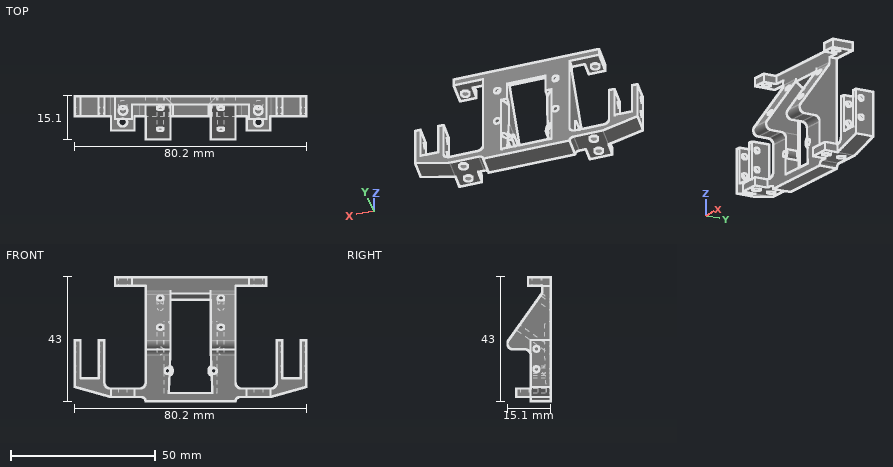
import cadquery as cq
import math


HEIGHT = 43.0
PLATE_DEPTH = 7.0
FRAME_HALF_WIDTH = 15.6
BASE_CORNER_RADIUS = 1.5

BEAM_THICKNESS = 3.0
BEAM_DEPTH = 3.0
BEAM_HALF_LENGTH = 26.2
TAB_WIDTH = 6.0
TAB_DEPTH = 8.0
TAB_HOLE_X = 23.4
TAB_HOLE_Y = -5.0
BOLT_DIAMETER = 3.0

SLOPE_ANGLE = 54.5
BRACKET_BOTTOM = 18.0
BRACKET_RADIUS = 2.0
BRACKET_REACH = 15.09
SLOPE_HOLE_DIAMETER = 2.2
SLOPE_HOLE_X = 10.5
SLOPE_HOLE_HEIGHTS = (25.7, 35.8)

WINDOW_HALF_WIDTH = 6.9
WINDOW_FLOOR_HALF_WIDTH = 7.5
WINDOW_FLOOR = 3.0
WINDOW_TOP_FRONT = 37.3
BACK_BEVEL_HALF_WIDTH = 9.15
BACK_BEVEL_DEPTH = 3.0
BACK_BEVEL_TOP = 27.7

BOSS_X = 8.0
BOSS_Z = 10.6
BOSS_DIAMETER = 3.7
BOSS_HOLE_DIAMETER = 2.0

ARM_BOTTOM = BASE_CORNER_RADIUS
ARM_THICKNESS = 3.0
ARM_TOP = ARM_BOTTOM + ARM_THICKNESS
ARM_FILLET = 2.0
PAD_CENTER_X = 23.5
PAD_WIDTH = 8.2
PAD_DEPTH = 12.0
PAD_HOLE_YS = (-3.0, -9.0)

FORK_OUTER_X = 40.1
PRONG_THICKNESS = 2.0
FORK_SLOT = 6.3
FORK_SLOT_FLOOR = 8.1
FORK_TOP = 21.2
FORK_OUTER_BOTTOM = 5.0
FORK_HOLE_DIAMETER = 2.0
FORK_HOLE_Y = -5.0
FORK_HOLE_TOP_OFFSET = 3.0
FORK_HOLE_SPACING = 7.0

SLOPE = math.radians(SLOPE_ANGLE)
SLOPE_NORMAL_Y = -math.sin(SLOPE)
SLOPE_NORMAL_Z = math.cos(SLOPE)
NOSE_Y = -(BRACKET_REACH - BRACKET_RADIUS)
NOSE_Z = BRACKET_BOTTOM + BRACKET_RADIUS
SLOPE_FOOT_Y = NOSE_Y + BRACKET_RADIUS * SLOPE_NORMAL_Y
SLOPE_FOOT_Z = NOSE_Z + BRACKET_RADIUS * SLOPE_NORMAL_Z
SLOPE_TOP_Z = SLOPE_FOOT_Z + (-BEAM_DEPTH - SLOPE_FOOT_Y) * math.tan(SLOPE)
FORK_INNER_X = FORK_OUTER_X - 2 * PRONG_THICKNESS - FORK_SLOT
OVERCUT = 1.0


def box(x_range, y_range, z_range):
    size = [high - low for low, high in (x_range, y_range, z_range)]
    corner = (x_range[0], y_range[0], z_range[0])
    return cq.Workplane("XY").box(*size, centered=False).translate(corner)


def both_sides(shape):
    return shape.union(shape.mirror("YZ"))


def extrude_x(profile, x_start, x_end):
    return profile.extrude(x_end - x_start).translate((x_start, 0, 0))


def y_cylinder(diameter, x, z, depth):
    return cq.Workplane("XZ").center(x, z).circle(diameter / 2).extrude(depth)


def top_beam():
    beam = box((-BEAM_HALF_LENGTH, BEAM_HALF_LENGTH), (-BEAM_DEPTH, 0), (HEIGHT - BEAM_THICKNESS, HEIGHT))
    tab_inner_x = BEAM_HALF_LENGTH - TAB_WIDTH
    tab = box((tab_inner_x, BEAM_HALF_LENGTH), (-TAB_DEPTH, 0), (HEIGHT - BEAM_THICKNESS, HEIGHT))
    hole = (
        cq.Workplane("XY", origin=(0, 0, HEIGHT - BEAM_THICKNESS))
        .center(TAB_HOLE_X, TAB_HOLE_Y)
        .circle(BOLT_DIAMETER / 2)
        .extrude(BEAM_THICKNESS)
    )
    return beam.union(both_sides(tab.cut(hole)))


def frame_block():
    """Frame and both brackets as one side profile, before the window is cut."""
    profile = (
        cq.Workplane("YZ")
        .moveTo(0, 0)
        .lineTo(-PLATE_DEPTH, 0)
        .lineTo(-PLATE_DEPTH, BRACKET_BOTTOM - BRACKET_RADIUS)
        .radiusArc((-PLATE_DEPTH - BRACKET_RADIUS, BRACKET_BOTTOM), -BRACKET_RADIUS)
        .lineTo(NOSE_Y, BRACKET_BOTTOM)
        .radiusArc((SLOPE_FOOT_Y, SLOPE_FOOT_Z), BRACKET_RADIUS)
        .lineTo(-BEAM_DEPTH, SLOPE_TOP_Z)
        .lineTo(-BEAM_DEPTH, HEIGHT)
        .lineTo(0, HEIGHT)
        .close()
    )
    block = extrude_x(profile, -FRAME_HALF_WIDTH, FRAME_HALF_WIDTH)
    slope_top = cq.selectors.NearestToPointSelector((0, -BEAM_DEPTH, SLOPE_TOP_Z))
    return block.edges("|X").edges(slope_top).fillet(BRACKET_RADIUS)


def window():
    """Opening whose sides flare below the brackets and whose roof is square to the slope."""
    front_y = -BRACKET_REACH - OVERCUT
    outline = (
        cq.Workplane("XZ", origin=(0, OVERCUT, 0))
        .moveTo(-WINDOW_FLOOR_HALF_WIDTH, WINDOW_FLOOR)
        .lineTo(WINDOW_FLOOR_HALF_WIDTH, WINDOW_FLOOR)
        .lineTo(WINDOW_HALF_WIDTH, BRACKET_BOTTOM)
        .lineTo(WINDOW_HALF_WIDTH, HEIGHT)
        .lineTo(-WINDOW_HALF_WIDTH, HEIGHT)
        .lineTo(-WINDOW_HALF_WIDTH, BRACKET_BOTTOM)
        .close()
        .extrude(OVERCUT - front_y)
    )
    roof_drop = (BEAM_DEPTH + OVERCUT) / math.tan(SLOPE)
    side = (
        cq.Workplane("YZ")
        .moveTo(OVERCUT, 0)
        .lineTo(front_y, 0)
        .lineTo(front_y, HEIGHT)
        .lineTo(-BEAM_DEPTH, HEIGHT)
        .lineTo(-BEAM_DEPTH, WINDOW_TOP_FRONT)
        .lineTo(OVERCUT, WINDOW_TOP_FRONT - roof_drop)
        .close()
    )
    return outline.intersect(extrude_x(side, -FRAME_HALF_WIDTH, FRAME_HALF_WIDTH))


def side_arm():
    """Arm on the +X side with its fork, flared into the frame."""
    frame_x = FRAME_HALF_WIDTH
    pad_outer_x = PAD_CENTER_X + PAD_WIDTH / 2
    slot_inner_x = FORK_INNER_X + PRONG_THICKNESS
    slot_outer_x = FORK_OUTER_X - PRONG_THICKNESS
    return (
        cq.Workplane("XZ")
        .moveTo(frame_x, 0)
        .radiusArc((frame_x + BASE_CORNER_RADIUS, ARM_BOTTOM), BASE_CORNER_RADIUS)
        .lineTo(pad_outer_x, ARM_BOTTOM)
        .lineTo(FORK_OUTER_X, FORK_OUTER_BOTTOM)
        .lineTo(FORK_OUTER_X, FORK_TOP)
        .lineTo(slot_outer_x, FORK_TOP)
        .lineTo(slot_outer_x, FORK_SLOT_FLOOR)
        .lineTo(slot_inner_x, FORK_SLOT_FLOOR)
        .lineTo(slot_inner_x, FORK_TOP)
        .lineTo(FORK_INNER_X, FORK_TOP)
        .lineTo(FORK_INNER_X, ARM_TOP + ARM_FILLET)
        .radiusArc((FORK_INNER_X - ARM_FILLET, ARM_TOP), ARM_FILLET)
        .lineTo(frame_x + ARM_FILLET, ARM_TOP)
        .radiusArc((frame_x, ARM_TOP + ARM_FILLET), ARM_FILLET)
        .close()
        .extrude(PLATE_DEPTH)
    )


def arm_pad():
    half = PAD_WIDTH / 2
    return box((PAD_CENTER_X - half, PAD_CENTER_X + half), (-PAD_DEPTH, 0), (ARM_BOTTOM, ARM_TOP))


def pad_holes():
    points = [(PAD_CENTER_X, y) for y in PAD_HOLE_YS]
    return cq.Workplane("XY").pushPoints(points).circle(BOLT_DIAMETER / 2).extrude(ARM_TOP + OVERCUT)


def fork_holes():
    top_hole = FORK_TOP - FORK_HOLE_TOP_OFFSET
    points = [(FORK_HOLE_Y, top_hole), (FORK_HOLE_Y, top_hole - FORK_HOLE_SPACING)]
    holes = cq.Workplane("YZ").pushPoints(points).circle(FORK_HOLE_DIAMETER / 2)
    return extrude_x(holes, FORK_INNER_X, FORK_OUTER_X)


def back_bevel():
    """45 degree bevel along the back of the window's sides, rounded off at its top."""
    wedge = (
        cq.Workplane("XY", origin=(0, 0, WINDOW_FLOOR))
        .moveTo(-BACK_BEVEL_HALF_WIDTH, 0)
        .lineTo(-BACK_BEVEL_HALF_WIDTH + BACK_BEVEL_DEPTH, -BACK_BEVEL_DEPTH)
        .lineTo(BACK_BEVEL_HALF_WIDTH - BACK_BEVEL_DEPTH, -BACK_BEVEL_DEPTH)
        .lineTo(BACK_BEVEL_HALF_WIDTH, 0)
        .close()
        .extrude(BACK_BEVEL_TOP - WINDOW_FLOOR)
    )
    side = (
        cq.Workplane("YZ")
        .moveTo(0, 0)
        .lineTo(-BACK_BEVEL_DEPTH, 0)
        .lineTo(-BACK_BEVEL_DEPTH, BACK_BEVEL_TOP - BACK_BEVEL_DEPTH)
        .radiusArc((0, BACK_BEVEL_TOP), BACK_BEVEL_DEPTH)
        .close()
    )
    return wedge.intersect(extrude_x(side, -BACK_BEVEL_HALF_WIDTH, BACK_BEVEL_HALF_WIDTH))


def slope_holes():
    """Holes drilled square to the sloped faces, through to the back."""
    holes = cq.Workplane("XY")
    length = 2 * BRACKET_REACH
    for z in SLOPE_HOLE_HEIGHTS:
        y = SLOPE_FOOT_Y + (z - SLOPE_FOOT_Z) / math.tan(SLOPE)
        entry = cq.Vector(SLOPE_HOLE_X, y, z)
        inward = cq.Vector(0, -SLOPE_NORMAL_Y, -SLOPE_NORMAL_Z)
        start = entry - inward * OVERCUT
        holes = holes.union(cq.Workplane(cq.Solid.makeCylinder(SLOPE_HOLE_DIAMETER / 2, length, start, inward)))
    return holes


bosses = both_sides(y_cylinder(BOSS_DIAMETER, BOSS_X, BOSS_Z, PLATE_DEPTH))
boss_holes = both_sides(y_cylinder(BOSS_HOLE_DIAMETER, BOSS_X, BOSS_Z, PLATE_DEPTH))
arm = side_arm().union(arm_pad()).cut(pad_holes()).cut(fork_holes())

frame = (
    frame_block()
    .cut(window())
    .union(bosses)
    .cut(boss_holes)
    .cut(back_bevel())
    .cut(both_sides(slope_holes()))
)
result = frame.union(top_beam()).union(both_sides(arm))